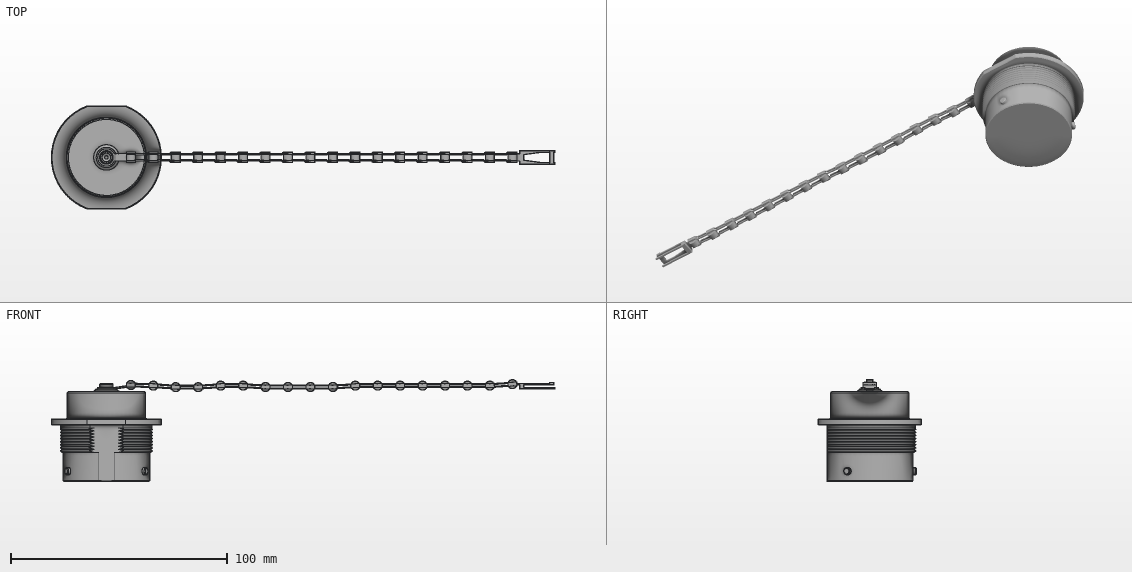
import cadquery as cq
import math

shell_radius = 20.05
shell_height = 13.3
shell_edge_chamfer = 0.4
thread_crest_radius = 21.3
thread_root_radius = 20.5
thread_turns = 8
flange_radius = 25.4
flange_bottom = 26.0
flange_thickness = 2.8
flange_edge_chamfer = 0.3
flange_width_across_flats = 47.6
cap_radius = 18.15
cap_top = 41.45
cap_base_chamfer = 0.4
cap_edge_chamfer = 0.6
key_flat_distance = 19.7

thread_collar_radius = 21.1
thread_collar_height = 1.3
thread_pitch = (flange_bottom - thread_collar_height - shell_height) / thread_turns
flange_top = flange_bottom + flange_thickness

pin_angles = (90, 210, 330)
pin_radius = 1.7
pin_reach = 21.5
pin_height = 4.65
pin_root = 18.0
pin_edge_chamfer = 0.4

rivet_base_radius = 5.9
rivet_washer_radius = 4.7
rivet_washer_height = 1.1
rivet_head_radius = 3.15
rivet_head_top = 45.2
rivet_head_chamfer = 0.5
rivet_dimple_rim_radius = 2.0
rivet_dimple_floor_radius = 0.8
rivet_dimple_depth = 0.8
rivet_washer_top = cap_top + rivet_washer_height

overall_length = 232.56
overall_height = 46.93
chain_end_x = overall_length - flange_radius
first_roller_x = 11.3
link_pitch = 10.36
roller_radius = 2.1
roller_width = 2.8
bar_height = 1.8
bar_strip_thickness = 0.5
bar_thickness = 0.7
narrow_outer_width = 3.5
wide_outer_width = 4.9
wide_reach = 2.1
crank_length = 0.8
joint_pin_radius = 0.7

end_roller_rise = 0.7
roller_runs = (
    (1, 0.3), (1, 0.0), (2, -0.7), (2, 0.0), (4, -0.6), (7, 0.0), (1, end_roller_rise),
)
chain_mean_z = overall_height - roller_radius - end_roller_rise

eye_radius = 4.0
eye_thickness = 0.8
tab_width = narrow_outer_width

loop_width = 6.3
loop_start_offset = 3.3
loop_rail_width = 0.9
loop_plate_thickness = 0.7
loop_plate_spacing = 1.8
loop_base_length = 2.0
loop_fork_length = 7.5
loop_fork_tip_width = 0.9
loop_fork_root_width = 1.9
loop_crossbar_inset = 0.6
loop_crossbar_length = 2.0
loop_crossbar_thickness = 1.2


def box(x_start, x_end, width, z_bottom, z_top, y_centre=0.0):
    """Box between two X positions and two heights, centred on y_centre."""
    return (
        cq.Workplane("XY")
        .box(x_end - x_start, width, z_top - z_bottom, centered=(False, True, False))
        .translate((x_start, y_centre, z_bottom))
    )


def cylinder_along_y(x, z, radius, width):
    return cq.Workplane("XZ").center(x, z).circle(radius).extrude(width / 2, both=True)


def make_thread():
    """Annular V ridges above the shell, ending in a plain collar under the flange."""
    profile = cq.Workplane("XZ").moveTo(0, shell_height).lineTo(thread_root_radius, shell_height)
    for turn in range(thread_turns):
        ridge_bottom = shell_height + turn * thread_pitch
        profile = profile.lineTo(thread_crest_radius, ridge_bottom + thread_pitch / 2)
        profile = profile.lineTo(thread_root_radius, ridge_bottom + thread_pitch)
    profile = profile.lineTo(thread_collar_radius, flange_bottom - thread_collar_height)
    profile = profile.lineTo(thread_collar_radius, flange_bottom).lineTo(0, flange_bottom)
    return profile.close().revolve(360, (0, 0, 0), (0, 1, 0))


def make_flange():
    disc = cq.Workplane("XY").workplane(offset=flange_bottom).circle(flange_radius)
    disc = disc.extrude(flange_thickness)
    flats = box(-flange_radius, flange_radius, flange_width_across_flats, flange_bottom, flange_top)
    return disc.intersect(flats).faces("<Z or >Z").chamfer(flange_edge_chamfer)


def make_cap():
    """Round cap with a bevelled top edge and a small bevel where it meets the flange."""
    profile = (
        cq.Workplane("XZ")
        .moveTo(0, flange_top)
        .lineTo(cap_radius + cap_base_chamfer, flange_top)
        .lineTo(cap_radius, flange_top + cap_base_chamfer)
        .lineTo(cap_radius, cap_top - cap_edge_chamfer)
        .lineTo(cap_radius - cap_edge_chamfer, cap_top)
        .lineTo(0, cap_top)
        .close()
    )
    return profile.revolve(360, (0, 0, 0), (0, 1, 0))


def make_body():
    shell = cq.Workplane("XY").circle(shell_radius).extrude(shell_height)
    shell = shell.faces("<Z").chamfer(shell_edge_chamfer)
    barrel = shell.union(make_thread())
    key_flat = box(-flange_radius, flange_radius, flange_radius, 0, flange_bottom,
                   -key_flat_distance - flange_radius / 2)
    barrel = barrel.cut(key_flat)
    return barrel.union(make_flange()).union(make_cap())


def make_bayonet_pin(angle):
    pin = cq.Workplane("YZ").workplane(offset=pin_root).center(0, pin_height).circle(pin_radius)
    pin = pin.extrude(pin_reach - pin_root).faces(">X").chamfer(pin_edge_chamfer)
    return pin.rotate((0, 0, 0), (0, 0, 1), angle)


def make_rivet():
    profile = (
        cq.Workplane("XZ")
        .moveTo(0, cap_top)
        .lineTo(rivet_base_radius, cap_top)
        .lineTo(rivet_washer_radius, rivet_washer_top)
        .lineTo(rivet_head_radius, rivet_washer_top)
        .lineTo(rivet_head_radius, rivet_head_top - rivet_head_chamfer)
        .lineTo(rivet_head_radius - rivet_head_chamfer, rivet_head_top)
        .lineTo(rivet_dimple_rim_radius, rivet_head_top)
        .lineTo(rivet_dimple_floor_radius, rivet_head_top - rivet_dimple_depth)
        .lineTo(0, rivet_head_top - rivet_dimple_depth)
        .close()
    )
    return profile.revolve(360, (0, 0, 0), (0, 1, 0))


def make_bar_pair(length):
    """Side bars from one roller (at the origin) to the next, cranked outward at the far end.

    Between the rollers each bar is split into an upper and a lower strip.
    """
    narrow = narrow_outer_width / 2
    wide = wide_outer_width / 2
    crank_end = length - wide_reach
    crank_start = crank_end - crank_length
    bar = (
        cq.Workplane("XY")
        .polyline([
            (0, narrow - bar_thickness),
            (crank_start, narrow - bar_thickness),
            (crank_end, wide - bar_thickness),
            (length + wide_reach, wide - bar_thickness),
            (length + wide_reach, wide),
            (crank_end, wide),
            (crank_start, narrow),
            (0, narrow),
        ])
        .close()
        .extrude(bar_height / 2, both=True)
    )
    slot_height = bar_height - 2 * bar_strip_thickness
    slot = box(roller_radius, length - wide_reach, wide_outer_width, -slot_height / 2, slot_height / 2)
    bar = bar.cut(slot)
    return bar.union(bar.mirror("XZ"))


def roller_centres():
    levels = []
    for count, rise in roller_runs:
        levels.extend([chain_mean_z + rise] * count)
    return [(first_roller_x + index * link_pitch, z) for index, z in enumerate(levels)]


def make_chain(centres):
    chain = cq.Workplane("XY")
    for x, z in centres:
        chain = chain.union(cylinder_along_y(x, z, roller_radius, roller_width))
        chain = chain.union(cylinder_along_y(x, z, joint_pin_radius, wide_outer_width))
    for (x, z), (next_x, next_z) in zip(centres, centres[1:]):
        length = math.hypot(next_x - x, next_z - z)
        tilt = math.degrees(math.atan2(next_z - z, next_x - x))
        bars = make_bar_pair(length).rotate((0, 0, 0), (0, 1, 0), -tilt)
        chain = chain.union(bars.translate((x, 0, z)))
    return chain


def make_eye(first_centre):
    """Ring under the rivet head, with a sloping tab that carries the first joint pin."""
    first_x, first_z = first_centre
    eye_top = rivet_washer_top + eye_thickness
    ring = cq.Workplane("XY").workplane(offset=rivet_washer_top).circle(eye_radius)
    ring = ring.extrude(eye_thickness)
    tab = (
        cq.Workplane("XZ")
        .polyline([
            (0, rivet_washer_top),
            (eye_radius, rivet_washer_top),
            (first_x, first_z - eye_thickness),
            (first_x, first_z),
            (eye_radius, eye_top),
            (0, eye_top),
        ])
        .close()
        .extrude(tab_width / 2, both=True)
    )
    ear_offset = (wide_outer_width - bar_thickness) / 2
    eye = ring.union(tab)
    for side in (-1, 1):
        eye = eye.union(box(first_x - wide_reach, first_x + wide_reach, bar_thickness,
                            first_z - bar_height / 2, first_z + bar_height / 2, side * ear_offset))
    return eye


def make_snap_loop(last_centre):
    """Two flat layers joined at their base.

    Each layer has two long rails; the upper one also has tapered fork arms
    and is closed by a crossbar.
    """
    last_x, last_z = last_centre
    start = last_x + loop_start_offset
    base_end = start + loop_base_length
    upper_top = last_z + loop_plate_thickness / 2
    upper_bottom = upper_top - loop_plate_thickness
    lower_bottom = upper_bottom - loop_plate_spacing
    lower_top = lower_bottom + loop_plate_thickness
    half_width = loop_width / 2
    crossbar_end = chain_end_x - loop_crossbar_inset

    loop = box(last_x, base_end, narrow_outer_width, upper_bottom, upper_top)
    loop = loop.union(box(start, base_end, loop_width, lower_bottom, upper_top))
    fork_arm = (
        cq.Workplane("XY")
        .workplane(offset=upper_bottom)
        .polyline([
            (start, half_width),
            (base_end + loop_fork_length, half_width),
            (base_end + loop_fork_length, half_width - loop_fork_tip_width),
            (base_end, half_width - loop_fork_root_width),
            (start, half_width - loop_fork_root_width),
        ])
        .close()
        .extrude(loop_plate_thickness)
    )
    loop = loop.union(fork_arm).union(fork_arm.mirror("XZ"))
    for side in (-1, 1):
        rail_y = side * (half_width - loop_rail_width / 2)
        loop = loop.union(box(start, crossbar_end, loop_rail_width, upper_bottom, upper_top, rail_y))
        loop = loop.union(box(start, chain_end_x, loop_rail_width, lower_bottom, lower_top, rail_y))
    crossbar = box(crossbar_end - loop_crossbar_length, crossbar_end, loop_width,
                   upper_bottom, upper_bottom + loop_crossbar_thickness)
    return loop.union(crossbar)


centres = roller_centres()
result = make_body()
for pin_angle in pin_angles:
    result = result.union(make_bayonet_pin(pin_angle))
result = result.union(make_rivet())
result = result.union(make_eye(centres[0]))
result = result.union(make_chain(centres))
result = result.union(make_snap_loop(centres[-1]))